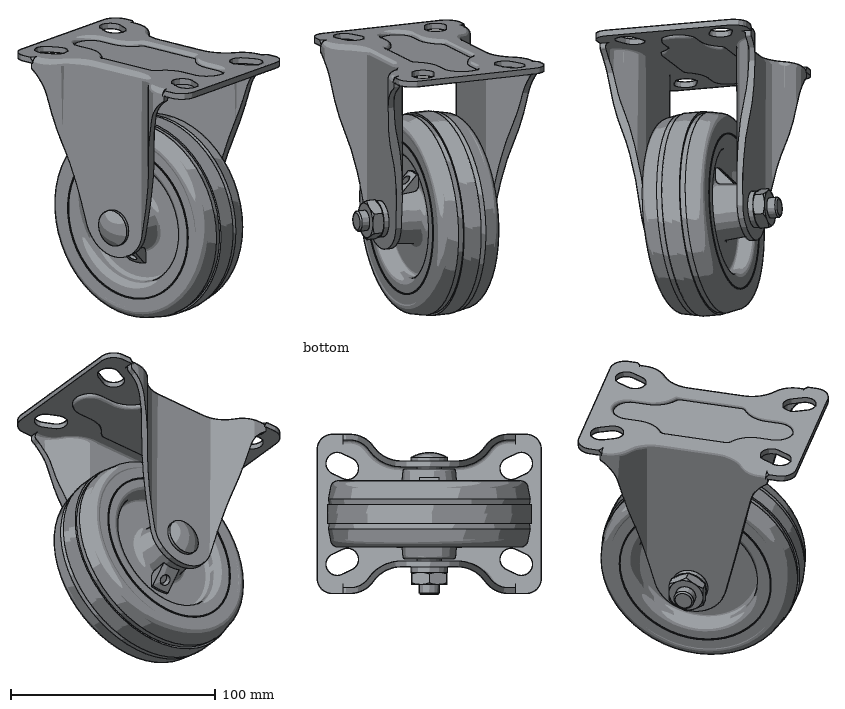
import cadquery as cq
import math


plate_top = 82.0
sheet = 2.9
plate_bottom = plate_top - sheet
plate_half_x = 54.98
plate_half_y = 39.1
corner_radius = 7.5
inner_bend_radius = 1.8

waist_half_y = 26.0
waist_half_x = 14.0
shoulder_x = 38.8
waist_arc_radius = 16.1

taper = math.radians(13.6)
leg_half_at_axle = 18.0
leg_bottom = -15.0
flare_start_z = 64.2
flare_radius = 19.7
leg_end_x = 42.4
leg_end_round = 1.6

runout_start_x = 41.5
runout_end_x = 46.9

recess_depth = 2.1
recess_round = 2.0
stamping_inset = 1.6
stamping_round = 1.8
recess_half_y = 18.0
recess_straight_x = 15.5
lobe_half_y = 10.2
lobe_start_x = 30.0
lobe_center_x = 37.0
recess_arc_radius = 13.2

slot_x = 42.6
slot_y = 23.5
slot_radius = 5.4
slot_span_x = 5.0
slot_span_y = 2.4

wheel_radius = 50.0
wheel_half_width = 16.1
rib_half_width = 4.6
groove_radius = 49.1
tread_inner_y = 7.4
tread_inner_radius = 49.5
tread_outer_y = 12.7
tread_outer_radius = 48.5
side_radius = 43.5
shoulder_bulge = 1.0
seam_radius = 38.0
seam_size = 0.4
rim_wall_radius = 30.8
rim_round = 3.3
web_half_width = 8.0
web_fillet = 1.8
hub_end_radius = 13.0
hub_base_radius = 13.9
hub_half_length = 22.0
hub_fillet = 2.8
hub_end_round = 1.2
tube_radius = 6.1
tube_half_length = waist_half_y - sheet

boss_width = 9.6
boss_outer_radius = 21.9
boss_shoulder_y = 9.1
boss_hole_radius = 2.6
boss_hole_depth = 4.0
boss_hole_offset = 18.1

bolt_radius = 5.0
bolt_end_y = 39.5
bolt_chamfer = 0.8
washer_radius = 9.0
nut_start_y = 28.6
nut_end_y = 34.6
nut_across_flats = 17.2
nut_chamfer_angle = math.radians(30)
head_radius = 9.0
head_rim = 1.6
head_height = 4.1


def polar(center, radius, angle):
    return (center[0] + radius * math.cos(angle), center[1] + radius * math.sin(angle))


def s_curve(start, end, first_radius):
    """Two tangent arcs, level at both ends, rising from start to end; first_radius is the lower arc's.

    Returns the middle of the first arc, the inflection and the middle of the second arc.
    """
    run = end[0] - start[0]
    rise = end[1] - start[1]
    radius_sum = (run**2 + rise**2) / (2 * rise)
    second_radius = radius_sum - first_radius
    turn = math.asin(abs(run) / radius_sum)
    side = math.copysign(1, run)
    first_mid = (
        start[0] + side * first_radius * math.sin(turn / 2),
        start[1] + first_radius * (1 - math.cos(turn / 2)),
    )
    inflection = (
        start[0] + side * first_radius * math.sin(turn),
        start[1] + first_radius * (1 - math.cos(turn)),
    )
    second_mid = (
        end[0] - side * second_radius * math.sin(turn / 2),
        end[1] - second_radius * (1 - math.cos(turn / 2)),
    )
    return first_mid, inflection, second_mid


def symmetric_outline(quarter, level):
    """Closed wire at a Z level, mirrored from a quarter that runs from the Y axis to the X axis.

    A step is either a line's end (x, y) or an arc's middle and end (x, y, x, y).
    """
    path = cq.Workplane("XY").workplane(offset=level).moveTo(*quarter[0])
    for step in quarter[1:]:
        if len(step) == 2:
            path = path.lineTo(*step)
        else:
            path = path.threePointArc(step[:2], step[2:])
    return path.mirrorX().mirrorY()


def plate_outline(level):
    waist_end = (waist_half_x, waist_half_y)
    shoulder = (shoulder_x, plate_half_y)
    first_mid, inflection, second_mid = s_curve(waist_end, shoulder, waist_arc_radius)
    corner_center = (plate_half_x - corner_radius, plate_half_y - corner_radius)
    corner_mid = polar(corner_center, corner_radius, math.pi / 4)
    quarter = [
        (0, waist_half_y),
        waist_end,
        first_mid + inflection,
        second_mid + shoulder,
        (corner_center[0], plate_half_y),
        corner_mid + (plate_half_x, corner_center[1]),
        (plate_half_x, 0),
    ]
    return symmetric_outline(quarter, level)


def recess_outline(level):
    waist_end = (recess_straight_x, recess_half_y)
    lobe_start = (lobe_start_x, lobe_half_y)
    first_mid, inflection, second_mid = s_curve(lobe_start, waist_end, recess_arc_radius)
    lobe_center = (lobe_center_x, 0)
    lobe_mid = polar(lobe_center, lobe_half_y, math.pi / 4)
    quarter = [
        (0, recess_half_y),
        waist_end,
        second_mid + inflection,
        first_mid + lobe_start,
        (lobe_center_x, lobe_half_y),
        lobe_mid + (lobe_center_x + lobe_half_y, 0),
    ]
    return symmetric_outline(quarter, level)


def leg_silhouette():
    """Plate and tapered legs as seen along Y, extruded through the whole bracket."""
    sin_taper = math.sin(taper)
    cos_taper = math.cos(taper)
    tan_taper = math.tan(taper)

    end_radius = (leg_half_at_axle * cos_taper + leg_bottom * sin_taper) / (1 - sin_taper)
    end_center_z = leg_bottom + end_radius
    end_tangent = (end_radius * cos_taper, end_center_z - end_radius * sin_taper)

    flare_start = (leg_half_at_axle + flare_start_z * tan_taper, flare_start_z)
    flare_center = (flare_start[0] + flare_radius * cos_taper, flare_start_z - flare_radius * sin_taper)
    start_angle = math.pi - taper
    end_angle = math.acos((leg_end_x - flare_center[0]) / flare_radius)
    flare_mid = polar(flare_center, flare_radius, (start_angle + end_angle) / 2)
    flare_end = polar(flare_center, flare_radius, end_angle)

    silhouette = (
        cq.Workplane("XZ", origin=(0, plate_half_y, 0))
        .moveTo(0, plate_top)
        .lineTo(plate_half_x, plate_top)
        .lineTo(plate_half_x, plate_bottom)
        .lineTo(leg_end_x, plate_bottom)
        .lineTo(*flare_end)
        .threePointArc(flare_mid, flare_start)
        .lineTo(*end_tangent)
        .threePointArc((0, leg_bottom), (-end_tangent[0], end_tangent[1]))
        .lineTo(-flare_start[0], flare_start[1])
        .threePointArc((-flare_mid[0], flare_mid[1]), (-flare_end[0], flare_end[1]))
        .lineTo(-leg_end_x, plate_bottom)
        .lineTo(-plate_half_x, plate_bottom)
        .lineTo(-plate_half_x, plate_top)
        .close()
        .extrude(2 * plate_half_y)
    )
    for side in (-1, 1):
        corner = cq.NearestToPointSelector((side * flare_end[0], 0, flare_end[1]))
        silhouette = silhouette.edges("|Y").edges(corner).fillet(leg_end_round)
    return silhouette


def bent_sheet():
    """Plate and both legs, with the bend rounded all along the plate between the runouts."""
    height = plate_top - leg_bottom
    outside = plate_outline(leg_bottom).extrude(height).faces(">Z").edges().fillet(sheet)
    inside = plate_outline(leg_bottom).offset2D(-sheet).extrude(height - sheet)
    inside = inside.faces(">Z").edges().fillet(inner_bend_radius)
    return outside.cut(inside).intersect(leg_silhouette())


def runout_cutter():
    """Rounding of the plate edge, slid outward along a slope until it leaves the corner."""
    bend_y = plate_half_y - sheet
    arc_mid = polar((bend_y, plate_bottom), sheet, math.pi / 4)
    outside_y = plate_half_y + sheet
    above_z = plate_top + sheet
    profile = (
        cq.Workplane("YZ", origin=(runout_start_x, 0, 0))
        .moveTo(bend_y, plate_top)
        .threePointArc(arc_mid, (plate_half_y, plate_bottom))
        .lineTo(outside_y, plate_bottom)
        .lineTo(outside_y, above_z)
        .lineTo(bend_y, above_z)
        .close()
    )
    slide = cq.Vector(runout_end_x - runout_start_x, sheet, sheet)
    return cq.Workplane(cq.Solid.extrudeLinear(profile.val(), [], slide))


def square_plate_ends():
    """The two ends of the plate, whose edges stay square outside the rounding."""
    end_length = plate_half_x - runout_start_x
    cutter = runout_cutter()
    cutter = cutter.union(cutter.mirror("XZ"))
    block = cq.Workplane("XY").box(
        end_length, 2 * plate_half_y, sheet, centered=(False, True, False)
    ).translate((runout_start_x, 0, plate_bottom))
    end = plate_outline(plate_bottom).extrude(sheet).intersect(block).cut(cutter)
    return end.union(end.mirror("YZ"))


def make_bracket():
    bracket = bent_sheet().union(square_plate_ends())

    stamping = recess_outline(plate_bottom).offset2D(-stamping_inset).extrude(-recess_depth)
    stamping = stamping.faces("<Z").edges().fillet(stamping_round)
    recess = recess_outline(plate_top).offset2D(-recess_round).extrude(-recess_depth)
    rim_zone = cq.selectors.BoxSelector(
        (-plate_half_x, -recess_half_y, plate_top - recess_round / 2),
        (plate_half_x, recess_half_y, plate_top + recess_round / 2),
    )
    rim_zone = cq.selectors.BoxSelector(
        (-lobe_center_x - lobe_half_y, -recess_half_y, plate_top - recess_round / 2),
        (lobe_center_x + lobe_half_y, recess_half_y, plate_top + recess_round / 2),
    )
    bracket = bracket.union(stamping).cut(recess)
    bracket = bracket.faces(">Z").edges(rim_zone).fillet(recess_round)

    slot_angle = math.degrees(math.atan2(slot_span_y, slot_span_x))
    slot_length = math.hypot(slot_span_x, slot_span_y) + 2 * slot_radius
    for side_x in (-1, 1):
        for side_y in (-1, 1):
            slot = (
                cq.Workplane("XY")
                .slot2D(slot_length, 2 * slot_radius, side_x * side_y * slot_angle)
                .extrude(sheet)
                .translate((side_x * slot_x, side_y * slot_y, plate_bottom))
            )
            bracket = bracket.cut(slot)

    axle_hole = cq.Workplane("XZ").circle(bolt_radius).extrude(waist_half_y, both=True)
    return bracket.cut(axle_hole)


def wheel_body():
    """Wheel turned about the Y axis; half the section, as (radius, y) points, is mirrored."""
    tread_mid = (
        (tread_outer_radius + side_radius) / 2 + shoulder_bulge,
        (tread_outer_y + wheel_half_width) / 2 + shoulder_bulge,
    )
    rim_round_center = (rim_wall_radius + rim_round, wheel_half_width - rim_round)
    web_fillet_center = (rim_wall_radius - web_fillet, web_half_width + web_fillet)
    hub_fillet_center = (hub_base_radius + hub_fillet, web_half_width + hub_fillet)
    hub_end_center = (hub_end_radius - hub_end_round, hub_half_length - hub_end_round)
    return (
        cq.Workplane("XY")
        .moveTo(wheel_radius, 0)
        .lineTo(wheel_radius, rib_half_width)
        .lineTo(groove_radius, rib_half_width)
        .lineTo(tread_inner_radius, tread_inner_y)
        .lineTo(tread_outer_radius, tread_outer_y)
        .threePointArc(tread_mid, (side_radius, wheel_half_width))
        .lineTo(seam_radius + seam_size, wheel_half_width)
        .lineTo(seam_radius + seam_size, wheel_half_width - seam_size)
        .lineTo(seam_radius, wheel_half_width - seam_size)
        .lineTo(seam_radius, wheel_half_width)
        .lineTo(rim_round_center[0], wheel_half_width)
        .threePointArc(
            polar(rim_round_center, rim_round, 3 * math.pi / 4), (rim_wall_radius, rim_round_center[1])
        )
        .lineTo(rim_wall_radius, web_fillet_center[1])
        .threePointArc(
            polar(web_fillet_center, web_fillet, -math.pi / 4), (web_fillet_center[0], web_half_width)
        )
        .lineTo(hub_fillet_center[0], web_half_width)
        .threePointArc(
            polar(hub_fillet_center, hub_fillet, -3 * math.pi / 4), (hub_base_radius, hub_fillet_center[1])
        )
        .lineTo(hub_end_radius, hub_end_center[1])
        .threePointArc(
            polar(hub_end_center, hub_end_round, math.pi / 4), (hub_end_center[0], hub_half_length)
        )
        .lineTo(tube_radius, hub_half_length)
        .lineTo(tube_radius, tube_half_length)
        .lineTo(bolt_radius, tube_half_length)
        .lineTo(bolt_radius, 0)
        .mirrorX()
        .revolve(360, (0, 0, 0), (0, 1, 0))
    )


def grease_boss():
    """Boss on the +Y side of the web above the hub, with a conical face that slopes at 45 degrees."""
    inner_radius = (bolt_radius + hub_end_radius) / 2
    turned = (
        cq.Workplane("XY")
        .moveTo(inner_radius, web_half_width)
        .lineTo(boss_outer_radius, web_half_width)
        .lineTo(boss_outer_radius, boss_shoulder_y)
        .lineTo(hub_end_radius, boss_shoulder_y + boss_outer_radius - hub_end_radius)
        .lineTo(inner_radius, boss_shoulder_y + boss_outer_radius - hub_end_radius)
        .close()
        .revolve(360, (0, 0, 0), (0, 1, 0))
    )
    sector = cq.Workplane("XY").box(
        boss_width, hub_half_length, boss_outer_radius, centered=(True, False, False)
    )
    return turned.intersect(sector)


def grease_hole():
    """Blind hole drilled square to the boss's sloping face."""
    hole_y = boss_shoulder_y + boss_outer_radius - boss_hole_offset
    mouth = cq.Vector(0, hole_y, boss_hole_offset)
    outward = cq.Vector(0, 1, 1).normalized()
    start = mouth - outward * boss_hole_depth
    return cq.Workplane(cq.Solid.makeCylinder(boss_hole_radius, 2 * boss_hole_depth, start, outward))


def make_wheel():
    wheel = wheel_body()
    for angle in (0, 180):
        wheel = wheel.union(grease_boss().rotate((0, 0, 0), (1, 0, 0), angle))
        wheel = wheel.cut(grease_hole().rotate((0, 0, 0), (1, 0, 0), angle))
    return wheel


def nut():
    length = nut_end_y - nut_start_y
    corner = nut_across_flats / math.sqrt(3)
    flat = nut_across_flats / 2
    drop = (corner - flat) * math.tan(nut_chamfer_angle)
    hexagon = (
        cq.Workplane("XZ", origin=(0, nut_start_y, 0))
        .polygon(6, 2 * corner)
        .extrude(-length)
        .rotate((0, 0, 0), (0, 1, 0), 30)
    )
    rounded = (
        cq.Workplane("XY")
        .moveTo(0, nut_start_y)
        .lineTo(flat, nut_start_y)
        .lineTo(corner, nut_start_y + drop)
        .lineTo(corner, nut_end_y - drop)
        .lineTo(flat, nut_end_y)
        .lineTo(0, nut_end_y)
        .close()
        .revolve(360, (0, 0, 0), (0, 1, 0))
    )
    return hexagon.intersect(rounded)


def make_axle():
    """Domed bolt with its washer and nut."""
    rim_y = -waist_half_y - head_rim
    dome_height = head_height - head_rim
    dome_radius = (head_radius**2 + dome_height**2) / (2 * dome_height)
    dome_center = (0, rim_y - dome_height + dome_radius)
    dome_edge_angle = math.asin(head_radius / dome_radius)
    dome_mid = polar(dome_center, dome_radius, -math.pi / 2 + dome_edge_angle / 2)
    turned = (
        cq.Workplane("XY")
        .moveTo(0, rim_y - dome_height)
        .threePointArc(dome_mid, (head_radius, rim_y))
        .lineTo(head_radius, -waist_half_y)
        .lineTo(bolt_radius, -waist_half_y)
        .lineTo(bolt_radius, waist_half_y)
        .lineTo(washer_radius, waist_half_y)
        .lineTo(washer_radius, nut_start_y)
        .lineTo(bolt_radius, nut_start_y)
        .lineTo(bolt_radius, bolt_end_y - bolt_chamfer)
        .lineTo(bolt_radius - bolt_chamfer, bolt_end_y)
        .lineTo(0, bolt_end_y)
        .close()
        .revolve(360, (0, 0, 0), (0, 1, 0))
    )
    return turned.union(nut())


bracket = make_bracket()
wheel = make_wheel()
axle = make_axle()
result = cq.Compound.makeCompound([bracket.val(), wheel.val(), axle.val()])